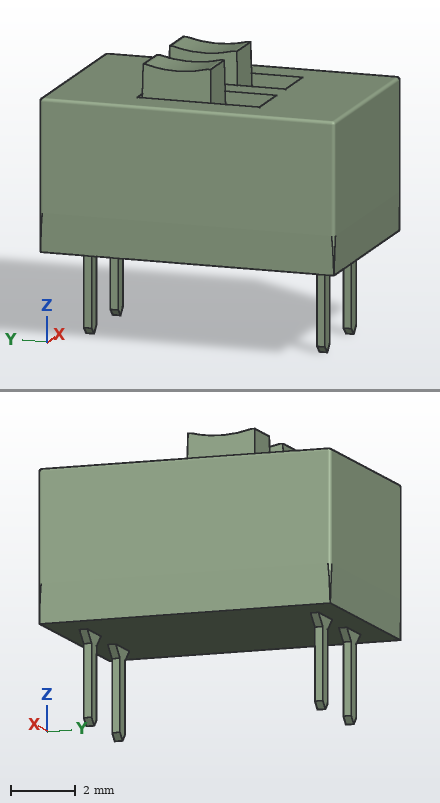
import cadquery as cq


body_width = 6.35
body_length = 9.65
body_height = 4.9
edge_radius = 0.11
base_height = 1.26
base_draft = 0.03

slot_pitch = 2.5
slot_width = 1.64
slot_length = 3.995
slot_depth = 0.73

lever_pitch = 2.54
lever_offset = 0.75
lever_rise = 1.03
lever_root_width = 1.46
lever_root_length = 2.26
lever_tip_width = 1.32
lever_tip_length = 2.2
lever_rim = 0.11
hollow_depth = 0.135

pin_pitch = 2.54
pin_row_spacing = 7.62
pin_length = 2.94
pin_width = 0.46
pin_thickness = 0.26
pin_tip_height = 0.23
shoulder_width = 1.23
shoulder_height = 0.38

SIDES = (-1, 1)


def make_housing():
    """Rounded box whose walls lean slightly inwards below the base line."""
    rounded_box = (
        cq.Workplane("XY")
        .box(body_width, body_length, body_height, centered=(True, True, False))
        .edges("|Z or >Z")
        .fillet(edge_radius)
    )
    upper_envelope = (
        cq.Workplane("XY")
        .workplane(offset=base_height)
        .rect(body_width, body_length)
        .extrude(body_height - base_height)
    )
    base_envelope = (
        cq.Workplane("XY")
        .rect(body_width - 2 * base_draft, body_length - 2 * base_draft)
        .workplane(offset=base_height)
        .rect(body_width, body_length)
        .loft(ruled=True)
    )
    return rounded_box.intersect(upper_envelope.union(base_envelope))


def make_slots():
    """Blind rectangular slots cut down from the housing top."""
    return (
        cq.Workplane("XY")
        .workplane(offset=body_height)
        .pushPoints([(side * slot_pitch / 2, 0) for side in SIDES])
        .rect(slot_width, slot_length)
        .extrude(-slot_depth)
    )


def make_lever():
    """Tapered lever standing on the slot floor, with a concave finger hollow on top."""
    lever_height = slot_depth + lever_rise
    lever_top = body_height + lever_rise
    half_chord = lever_tip_length / 2 - lever_rim
    hollow_radius = (half_chord**2 + hollow_depth**2) / (2 * hollow_depth)

    block = (
        cq.Workplane("XY")
        .workplane(offset=body_height - slot_depth)
        .rect(lever_root_width, lever_root_length)
        .workplane(offset=lever_height)
        .rect(lever_tip_width, lever_tip_length)
        .loft(ruled=True)
    )
    hollow = (
        cq.Workplane("YZ")
        .center(0, lever_top - hollow_depth + hollow_radius)
        .circle(hollow_radius)
        .extrude(lever_root_width, both=True)
    )
    return block.cut(hollow)


def make_pin():
    """Flat pin with a flared shoulder under the housing and a pointed tip."""
    half_width = pin_width / 2
    half_shoulder = shoulder_width / 2
    tip_start = pin_tip_height - pin_length
    return (
        cq.Workplane("XZ")
        .polyline([
            (-half_shoulder, 0),
            (half_shoulder, 0),
            (half_width, -shoulder_height),
            (half_width, tip_start),
            (0, -pin_length),
            (-half_width, tip_start),
            (-half_width, -shoulder_height),
        ])
        .close()
        .extrude(pin_thickness / 2, both=True)
    )


result = make_housing().cut(make_slots())
for x_side in SIDES:
    result = result.union(make_lever().translate((x_side * lever_pitch / 2, lever_offset, 0)))
    for y_side in SIDES:
        pin_position = (x_side * pin_pitch / 2, y_side * pin_row_spacing / 2, 0)
        result = result.union(make_pin().translate(pin_position))